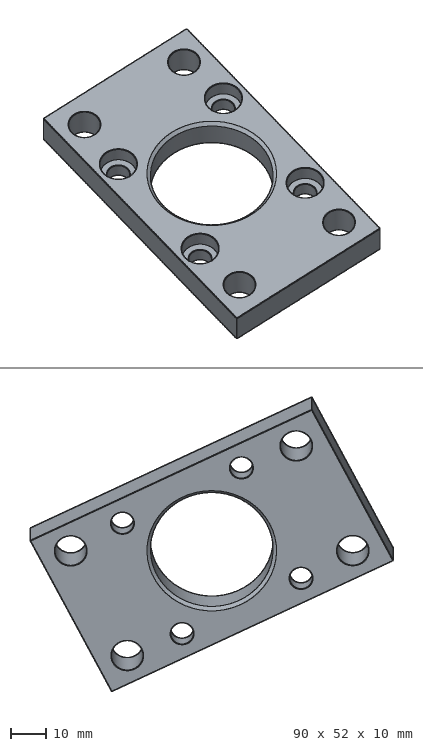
import cadquery as cq

length = 90.0
width = 52.0
thickness = 10.0
edge_chamfer = 0.2

bore_diameter = 35.0
bore_chamfer = 1.0

corner_hole_diameter = 9.0
corner_pitch_x = 72.0
corner_pitch_y = 36.0

screw_hole_diameter = 6.5
screw_head_diameter = 10.5
screw_head_depth = 5.0
screw_pitch = 38.0


def make_plate():
    """Flat plate centred on the origin, with all outer edges broken."""
    return cq.Workplane("XY").box(length, width, thickness).edges().chamfer(edge_chamfer)


def cut_corner_holes(body):
    """Four plain through holes."""
    top = body.faces(">Z").workplane(origin=(0, 0))
    return top.rarray(corner_pitch_x, corner_pitch_y, 2, 2).hole(corner_hole_diameter)


def cut_screw_holes(body):
    """Four through holes, counterbored from the top face."""
    top = body.faces(">Z").workplane(origin=(0, 0))
    screws = top.rarray(screw_pitch, screw_pitch, 2, 2)
    return screws.cboreHole(screw_hole_diameter, screw_head_diameter, screw_head_depth)


def break_hole_rims(body):
    """Small chamfers on the hole rims at both faces and at the counterbore floors."""
    body = body.faces(">Z or <Z").edges("%CIRCLE").chamfer(edge_chamfer)
    floor_circles = body.faces("|Z").faces("not(>Z or <Z)").edges("%CIRCLE")
    return floor_circles.edges(cq.selectors.RadiusNthSelector(0)).chamfer(edge_chamfer)


def cut_bore(body):
    """Through bore with a chamfered rim on both faces."""
    body = body.faces(">Z").workplane(origin=(0, 0)).hole(bore_diameter)
    for side in (">Z", "<Z"):
        rim = body.faces(side).edges(cq.selectors.RadiusNthSelector(-1))
        body = rim.chamfer(bore_chamfer)
    return body


plate = make_plate()
plate = cut_corner_holes(plate)
plate = cut_screw_holes(plate)
plate = break_hole_rims(plate)
result = cut_bore(plate)